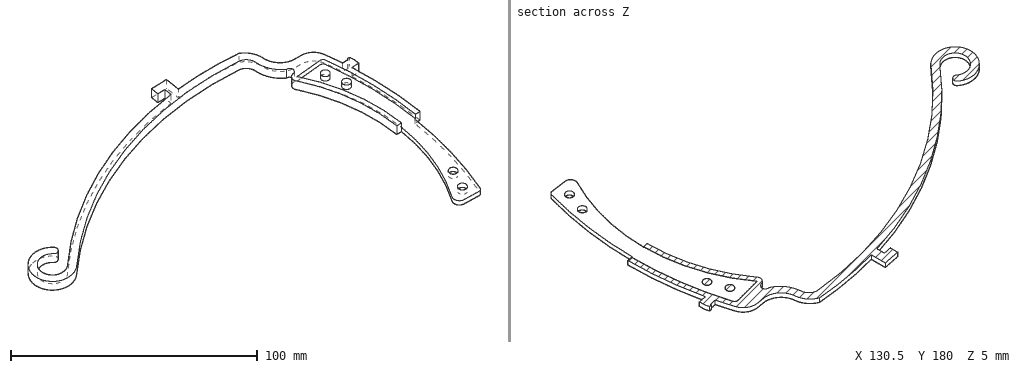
import cadquery as cq
import math

BODY_HEIGHT = 5.0
LAP_HEIGHT = BODY_HEIGHT / 2

LAP_X = 82.0
RIM_TOP_Y = 180.0
RIM_WIDTH = 2.5
LAP_TOP_Y = RIM_TOP_Y - RIM_WIDTH
LAP_BOTTOM_Y = 170.0
RIM_BOTTOM_Y = LAP_BOTTOM_Y - RIM_WIDTH
LAP_TOP_RADIUS = 174.7
LAP_BOTTOM_RADIUS = 90.0
RIM_TOP_RADIUS = LAP_TOP_RADIUS + RIM_WIDTH
RIM_BOTTOM_RADIUS = LAP_BOTTOM_RADIUS - RIM_WIDTH
LAP_TOP_REACH = 49.0
LAP_BOTTOM_REACH = 48.0
TONGUE_CLEARANCE = 0.4
POCKET_CORNER_RADIUS = 1.8
TONGUE_TOP_FILLET = 1.6
TONGUE_BOTTOM_FILLET = 3.0

PIN_DIAMETER = 4.0
PIN_POSITIONS = [(42.0, 165.8), (32.6, 169.0)]

ARM_WIDTH = 3.8
HOOK_X = 49.3
HOOK_RADIUS = 9.9
HOOK_INNER_RADIUS = HOOK_RADIUS - ARM_WIDTH
HOOK_ANGLE = 45.0
ARM_INNER_RADIUS = 156.0
ARM_OUTER_RADIUS = ARM_INNER_RADIUS + ARM_WIDTH
ARM_OFFSET = (ARM_INNER_RADIUS + HOOK_RADIUS) * math.cos(math.radians(HOOK_ANGLE))
ARM_X = HOOK_X + ARM_OFFSET
ARM_Y = HOOK_RADIUS + ARM_OFFSET
ARM_OUTER_TOP_Y = 147.3
ARM_INNER_TOP_Y = 144.5

CLIP_TOP_Y = 115.2
CLIP_LENGTH = 8.1
CLIP_THICKNESS = 4.3
CLIP_WIDTH = 4.0
CLIP_ROOT_X = 9.0

TAB_RIGHT_X = 44.7
TAB_WIDTH = 4.5
TAB_TOP_Y = 179.9
TAB_ROOT_Y = 174.3
TAB_LIP = 0.5
TAB_LIP_Y = 178.0
TAB_SLOPE_X = 42.0


def arch_point(crown_y, radius, x):
    """Point at x on an arch whose crown lies on the joint plane."""
    drop = radius - math.sqrt(radius**2 - (x - LAP_X) ** 2)
    return (x, crown_y - drop)


def arch_arc(sketch, crown_y, radius, start_x, end_x):
    """Continue an outline along an arch from start_x to end_x."""
    middle = arch_point(crown_y, radius, (start_x + end_x) / 2)
    return sketch.threePointArc(middle, arch_point(crown_y, radius, end_x))


def lap_shape(side, clearance, height):
    """Arched strip on one side of the joint plane (side is -1 or 1)."""
    top_y = LAP_TOP_Y - clearance
    top_x = LAP_X + side * (LAP_TOP_REACH - clearance)
    bottom_x = LAP_X + side * (LAP_BOTTOM_REACH - clearance)
    sketch = cq.Workplane("XY").moveTo(LAP_X, top_y)
    sketch = arch_arc(sketch, top_y, LAP_TOP_RADIUS, LAP_X, top_x)
    sketch = sketch.lineTo(*arch_point(LAP_BOTTOM_Y, LAP_BOTTOM_RADIUS, bottom_x))
    sketch = arch_arc(sketch, LAP_BOTTOM_Y, LAP_BOTTOM_RADIUS, bottom_x, LAP_X)
    return sketch.close().extrude(height)


def end_corner(side, reach, y):
    """Selector for the upright edge at a far corner of the lap."""
    return cq.selectors.NearestToPointSelector((LAP_X + side * reach, y, LAP_HEIGHT / 2))


def arm_point(radius, y):
    """Point at height y on the left of a circle about the arm centre."""
    return (ARM_X - math.sqrt(radius**2 - (y - ARM_Y) ** 2), y)


def hook_point(radius, angle):
    """Point on a circle about the hook centre, angle in degrees."""
    turn = math.radians(angle)
    return (HOOK_X + radius * math.cos(turn), HOOK_RADIUS + radius * math.sin(turn))


def frame():
    """Rim block, S-shaped neck, long arm and hook as one outline."""
    rim_left_x = 31.7
    lobe_right_x = 36.0
    arm_middle_y = 81.0
    tip_angle = 180 - HOOK_ANGLE
    tip_x, tip_y = hook_point(HOOK_RADIUS - ARM_WIDTH / 2, tip_angle)
    tip_step = ARM_WIDTH / 2 * math.cos(math.radians(HOOK_ANGLE))
    tip_middle = (tip_x + tip_step, tip_y + tip_step)

    sketch = cq.Workplane("XY").moveTo(LAP_X, RIM_TOP_Y)
    sketch = arch_arc(sketch, RIM_TOP_Y, RIM_TOP_RADIUS, LAP_X, rim_left_x)
    sketch = (
        sketch.threePointArc((27.7, 170.3), (25.8, 165.3))
        .lineTo(25.5, 161.0)
        .threePointArc((22.7, 155.5), (17.3, 152.9))
        .threePointArc((11.7, 151.0), arm_point(ARM_OUTER_RADIUS, ARM_OUTER_TOP_Y))
    )
    sketch = (
        sketch.threePointArc(
            arm_point(ARM_OUTER_RADIUS, arm_middle_y), hook_point(HOOK_INNER_RADIUS, HOOK_ANGLE)
        )
        .threePointArc(hook_point(HOOK_INNER_RADIUS, -90), hook_point(HOOK_INNER_RADIUS, tip_angle))
        .threePointArc(tip_middle, hook_point(HOOK_RADIUS, tip_angle))
        .threePointArc(hook_point(HOOK_RADIUS, -90), hook_point(HOOK_RADIUS, HOOK_ANGLE))
    )
    sketch = (
        sketch.threePointArc(
            arm_point(ARM_INNER_RADIUS, arm_middle_y), arm_point(ARM_INNER_RADIUS, ARM_INNER_TOP_Y)
        )
        .threePointArc((13.3, 147.5), (17.0, 149.0))
        .threePointArc((23.5, 151.3), (28.0, 155.5))
        .threePointArc((29.7, 157.5), (31.5, 156.1))
        .threePointArc((33.3, 153.8), arch_point(RIM_BOTTOM_Y, RIM_BOTTOM_RADIUS, lobe_right_x))
    )
    sketch = arch_arc(sketch, RIM_BOTTOM_Y, RIM_BOTTOM_RADIUS, lobe_right_x, LAP_X)
    return sketch.close().extrude(BODY_HEIGHT)


def clip():
    """L-shaped clip standing out from the arm."""
    bottom_y = CLIP_TOP_Y - CLIP_LENGTH
    inner_y = CLIP_TOP_Y - CLIP_THICKNESS
    outline = [
        (0, CLIP_TOP_Y),
        (CLIP_ROOT_X, CLIP_TOP_Y),
        (CLIP_ROOT_X, inner_y),
        (CLIP_WIDTH, inner_y),
        (CLIP_WIDTH, bottom_y),
        (0, bottom_y),
    ]
    return cq.Workplane("XY").polyline(outline).close().extrude(BODY_HEIGHT)


def tab():
    """Small tab with a lip, standing on the rim."""
    left_x = TAB_RIGHT_X - TAB_WIDTH
    lip_x = left_x - TAB_LIP
    outline = [
        (TAB_RIGHT_X, TAB_ROOT_Y),
        (TAB_RIGHT_X, TAB_TOP_Y),
        (TAB_SLOPE_X, TAB_TOP_Y),
        (lip_x, TAB_TOP_Y - TAB_LIP),
        (lip_x, TAB_LIP_Y),
        (left_x, TAB_LIP_Y),
        (left_x, TAB_ROOT_Y),
    ]
    return cq.Workplane("XY").polyline(outline).close().extrude(BODY_HEIGHT)


def round_posts(side, height):
    """Cylinders at the pin positions on one side of the joint plane."""
    centres = [(LAP_X + side * reach, y) for reach, y in PIN_POSITIONS]
    return cq.Workplane("XY").pushPoints(centres).circle(PIN_DIAMETER / 2).extrude(height)


def pocket():
    """Recess in the upper half of the rim block, open at the joint plane."""
    strip = lap_shape(-1, 0, BODY_HEIGHT - LAP_HEIGHT)
    corner = end_corner(-1, LAP_TOP_REACH, LAP_TOP_Y)
    strip = strip.edges("|Z").edges(corner).fillet(POCKET_CORNER_RADIUS)
    return strip.translate((0, 0, LAP_HEIGHT))


def tongue():
    """Thin half of the lap joint with two through holes."""
    strip = lap_shape(1, TONGUE_CLEARANCE, LAP_HEIGHT)
    strip = strip.edges("|Z").edges(end_corner(1, LAP_TOP_REACH, LAP_TOP_Y)).fillet(TONGUE_TOP_FILLET)
    lower_y = arch_point(LAP_BOTTOM_Y, LAP_BOTTOM_RADIUS, LAP_X + LAP_BOTTOM_REACH)[1]
    strip = strip.edges("|Z").edges(end_corner(1, LAP_BOTTOM_REACH, lower_y)).fillet(TONGUE_BOTTOM_FILLET)
    return strip.cut(round_posts(1, LAP_HEIGHT))


body = frame().union(clip()).union(tab()).cut(pocket())
result = body.union(round_posts(-1, BODY_HEIGHT)).union(tongue())